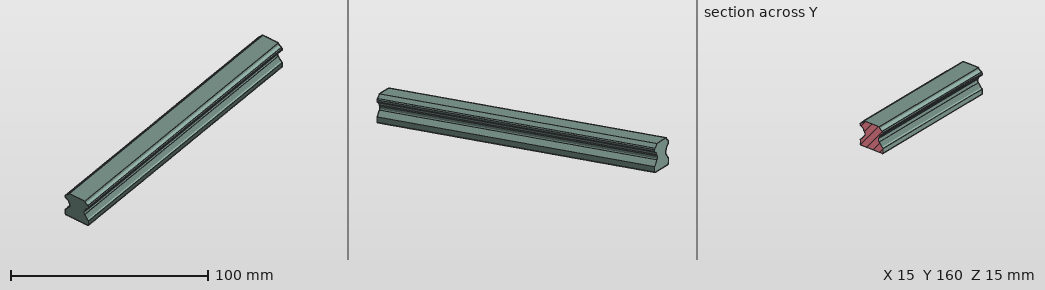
import cadquery as cq
import math

LENGTH = 160.0
WIDTH = 15.0
HEIGHT = 15.0

HALF_WIDTH = WIDTH / 2
TOP_HALF_WIDTH = 5.1
RACE_EDGE = 6.5
HEAD_SHOULDER = 7.0
LOWER_RACE_HALF_WIDTH = 5.3
WAIST_HALF_WIDTH = 4.6
WAIST_BLEND_END = 5.0
BASE_SHOULDER = 6.9

UPPER_RACE_HEIGHT = 13.5
HEAD_SHOULDER_TOP = 13.1
HEAD_TOP = 12.5
HEAD_BOTTOM = 11.5
HEAD_SHOULDER_BOTTOM = 11.0
LOWER_RACE_TOP = 10.7
LOWER_RACE_BOTTOM = 9.1
WAIST_TOP = 8.2
WAIST_BOTTOM = 6.7
WAIST_BLEND_BOTTOM = 6.2
BASE_SHOULDER_HEIGHT = 3.8
BASE_SIDE_TOP = 3.4

RACE_DEPTH = 0.3

BOTTOM_CHAMFER = 0.5

CAP_DIAMETER = 7.5
CAP_THICKNESS = 1.6
CAP_PITCH = 60.0
CAP_COUNT = 3


def race_middle(start, end):
    """Return the deepest point of a ball race, on the inner side of its chord."""
    run = end[0] - start[0]
    rise = end[1] - start[1]
    chord = math.hypot(run, rise)
    middle_x = (start[0] + end[0]) / 2 + RACE_DEPTH * rise / chord
    middle_z = (start[1] + end[1]) / 2 - RACE_DEPTH * run / chord
    return middle_x, middle_z


def half_rail():
    """Build the +X half of the rail, with the profile drawn from the top down to the base."""
    top_edge = (TOP_HALF_WIDTH, HEIGHT)
    upper_race_end = (RACE_EDGE, UPPER_RACE_HEIGHT)
    lower_race_start = (RACE_EDGE, LOWER_RACE_TOP)
    lower_race_end = (LOWER_RACE_HALF_WIDTH, LOWER_RACE_BOTTOM)
    return (
        cq.Workplane("XZ", origin=(0, LENGTH / 2, 0))
        .moveTo(0, HEIGHT)
        .lineTo(*top_edge)
        .threePointArc(race_middle(top_edge, upper_race_end), upper_race_end)
        .lineTo(HEAD_SHOULDER, HEAD_SHOULDER_TOP)
        .lineTo(HALF_WIDTH, HEAD_TOP)
        .lineTo(HALF_WIDTH, HEAD_BOTTOM)
        .lineTo(HEAD_SHOULDER, HEAD_SHOULDER_BOTTOM)
        .lineTo(*lower_race_start)
        .threePointArc(race_middle(lower_race_start, lower_race_end), lower_race_end)
        .lineTo(WAIST_HALF_WIDTH, WAIST_TOP)
        .lineTo(WAIST_HALF_WIDTH, WAIST_BOTTOM)
        .tangentArcPoint((WAIST_BLEND_END, WAIST_BLEND_BOTTOM), relative=False)
        .lineTo(BASE_SHOULDER, BASE_SHOULDER_HEIGHT)
        .lineTo(HALF_WIDTH, BASE_SIDE_TOP)
        .lineTo(HALF_WIDTH, BOTTOM_CHAMFER)
        .lineTo(HALF_WIDTH - BOTTOM_CHAMFER, 0)
        .lineTo(0, 0)
        .close()
        .extrude(LENGTH)
    )


def hole_caps():
    """Build the row of round caps whose tops lie level with the top of the rail."""
    return (
        cq.Workplane("XY", origin=(0, 0, HEIGHT - CAP_THICKNESS))
        .rarray(1.6, CAP_PITCH, 1, CAP_COUNT)
        .circle(CAP_DIAMETER / 2)
        .extrude(CAP_THICKNESS)
    )


half = half_rail()
rail = half.union(half.mirror("YZ")).clean()

caps = hole_caps()
result = rail.cut(caps).union(caps, clean=False)